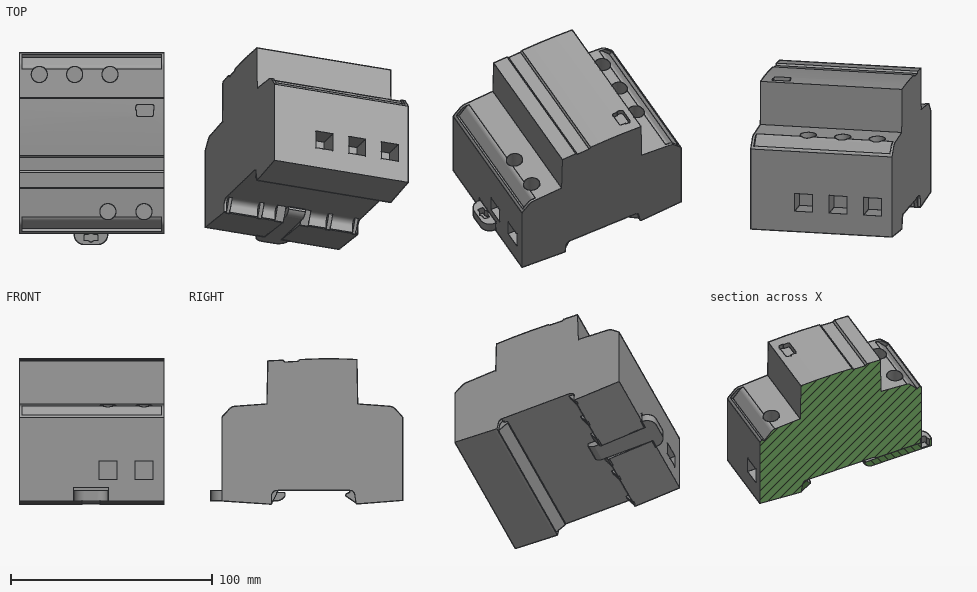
import cadquery as cq

WIDTH = 72.0
HALF_DEPTH = 45.0
RAIL_CEILING = 7.1

CHAMFER_FOOT = (HALF_DEPTH, 43.3)
CHAMFER_START = (44.6, 43.9)
SHOULDER_ARC_START = (41.2, 47.6)
SHOULDER_ARC_END = (38.5, 48.9)
TOWER_FOOT = (22.6, 50.0)
TOWER_BACK = (22.25, 72.1)
TOWER_PEAK = (4.8, 72.5)
TOWER_STEP = (-6.2, 72.1)
TOWER_FRONT = (-22.2, 71.4)
GROOVE_FRONT_TOP = (-14.6, 71.8)
GROOVE_FRONT_FLOOR = (-13.7, 70.9)
GROOVE_BACK_FLOOR = (-7.1, 71.2)
FRONT_BOTTOM = (-HALF_DEPTH, 1.7)
BACK_BOTTOM = (HALF_DEPTH, 2.0)

FRONT_LEG_TIP = (-20.6, 0.1)
FRONT_CORNER = [(-20.3, 0.6), (-20.3, 4.0), (-19.7, 6.0), (-17.8, RAIL_CEILING)]
BACK_CORNER = [(19.3, RAIL_CEILING), (20.6, 6.0), (21.2, 4.2), (21.8, 0.7)]
BACK_LEG_TIP = [(22.0, 0.3), (23.1, 0.3)]

RIB_SPANS = [(-34.8, -33.0), (-21.0, -18.9), (-9.3, -4.9), (4.1, 8.6), (15.9, 18.0), (33.0, 34.8)]
RIB_TOP = (-16.9, RAIL_CEILING)
RIB_TIP = (-20.4, 0.0)
RIB_ROOT = (-21.2, 0.0)

RECESS_MARGIN = 1.3
RECESS_LENGTH = WIDTH - 2 * RECESS_MARGIN
RECESS_RIM = (43.9, 44.6)
RECESS_FLOOR = (42.5, 43.55)
RECESS_ARC_START = (38.8, 47.9)
RECESS_ARC_END = (36.8, 49.0)
RECESS_CLEARANCE = 2.9

FRONT_TERMINALS = [8.0, 26.0]
BACK_TERMINALS = [-26.1, -8.5, 9.1]
SCREW_HOLE_DIAMETER = 8.0
SCREW_HOLE_Y = 34.1
SCREW_HOLE_FLOOR = 34.4
WIRE_OPENING = 9.1
WIRE_OPENING_Z = 17.1
WIRE_OPENING_DEPTH = 11.5

WINDOW_X = 26.5
WINDOW_BACK = 19.2
WINDOW_STEP = 16.4
WINDOW_FRONT = 13.3
WINDOW_WIDE = 9.2
WINDOW_NARROW = 8.3
WINDOW_BACK_RADIUS = 1.3
WINDOW_FRONT_RADIUS = 0.8
WINDOW_FLOOR = 69.7

CLIP_X = -0.4
CLIP_WIDTH = 16.8
CLIP_BOTTOM = 1.8
CLIP_TOP = 7.0
CLIP_TONGUE_TOP = 6.0
CLIP_FRONT = -50.5
CLIP_CORNER_RADIUS = 5.2
CLIP_SLOT_WIDTH = 17.6
CLIP_SLOT_TOP = 8.4
CLIP_SLOT_BACK = -44.4
TONGUE_WIDTH = 9.0
NOSE_TIP_Y = -13.5
NOSE_ARC = [(-17.2, CLIP_BOTTOM), (-14.9, 2.8), (NOSE_TIP_Y, 4.3)]
NOSE_BEVEL = [(NOSE_TIP_Y, 5.4), (-13.9, CLIP_TONGUE_TOP)]
KEYHOLE_Y = -47.0
KEYHOLE_LENGTH = 6.9
KEYHOLE_CORNER_RADIUS = 0.3
KEYHOLE_HALF_WIDTH = 1.4
KEYHOLE_POINT = 2.4
KEYHOLE_POINT_LENGTH = 3.2
KEYHOLE_FLOOR = 2.8

HOOK_LENGTH = 68.8
HOOK_LIP = [(16.8, 4.1), (16.6, 4.8), (17.1, 5.4)]
HOOK_NECK = [(18.4, 6.0), (18.7, RAIL_CEILING)]


def mirrored(point):
    y, z = point
    return (-y, z)


def slab(profile, x_start, x_end):
    """Extrude a closed YZ profile from x_start to x_end."""
    return profile.extrude(x_end - x_start).translate((x_start, 0, 0))


def box(x_range, y_range, z_range):
    (x0, x1), (y0, y1), (z0, z1) = x_range, y_range, z_range
    return cq.Workplane("XY").box(x1 - x0, y1 - y0, z1 - z0, centered=False).translate((x0, y0, z0))


def housing_block():
    profile = (
        cq.Workplane("YZ")
        .moveTo(*CHAMFER_FOOT)
        .lineTo(*CHAMFER_START)
        .lineTo(*SHOULDER_ARC_START)
        .tangentArcPoint(SHOULDER_ARC_END, relative=False)
        .lineTo(*TOWER_FOOT)
        .lineTo(*TOWER_BACK)
        .threePointArc(TOWER_PEAK, TOWER_STEP)
        .lineTo(*GROOVE_BACK_FLOOR)
        .lineTo(*GROOVE_FRONT_FLOOR)
        .lineTo(*GROOVE_FRONT_TOP)
        .lineTo(*TOWER_FRONT)
        .lineTo(*mirrored(TOWER_FOOT))
        .lineTo(*mirrored(SHOULDER_ARC_END))
        .tangentArcPoint(mirrored(SHOULDER_ARC_START), relative=False)
        .lineTo(*mirrored(CHAMFER_START))
        .lineTo(*mirrored(CHAMFER_FOOT))
        .lineTo(*FRONT_BOTTOM)
        .lineTo(*FRONT_LEG_TIP)
        .lineTo(*FRONT_CORNER[0])
        .lineTo(*FRONT_CORNER[1])
        .threePointArc(FRONT_CORNER[2], FRONT_CORNER[3])
        .lineTo(*BACK_CORNER[0])
        .threePointArc(BACK_CORNER[1], BACK_CORNER[2])
        .lineTo(*BACK_CORNER[3])
        .lineTo(*BACK_LEG_TIP[0])
        .lineTo(*BACK_LEG_TIP[1])
        .lineTo(*BACK_BOTTOM)
        .close()
    )
    return slab(profile, -WIDTH / 2, WIDTH / 2)


def rail_rib(x_start, x_end):
    profile = cq.Workplane("YZ").polyline([RIB_TOP, RIB_TIP, RIB_ROOT, (RIB_ROOT[0], RAIL_CEILING)]).close()
    return slab(profile, x_start, x_end)


def label_recess():
    """Cutter for the back recess: a slanted floor that runs out into the shoulder."""
    wall_y = RECESS_RIM[0] - RECESS_FLOOR[0]
    wall_z = RECESS_RIM[1] - RECESS_FLOOR[1]
    outer = (RECESS_RIM[0] + wall_y, RECESS_RIM[1] + wall_z)
    top = RECESS_ARC_END[1] + RECESS_CLEARANCE
    profile = (
        cq.Workplane("YZ")
        .moveTo(*outer)
        .lineTo(*RECESS_FLOOR)
        .lineTo(*RECESS_ARC_START)
        .tangentArcPoint(RECESS_ARC_END, relative=False)
        .lineTo(RECESS_ARC_END[0], top)
        .lineTo(outer[0], top)
        .close()
    )
    return slab(profile, -RECESS_LENGTH / 2, RECESS_LENGTH / 2)


def screw_hole(x, side):
    height = TOWER_FOOT[1] - SCREW_HOLE_FLOOR
    return (
        cq.Workplane("XY", origin=(x, side * SCREW_HOLE_Y, SCREW_HOLE_FLOOR))
        .circle(SCREW_HOLE_DIAMETER / 2)
        .extrude(height)
    )


def wire_opening(x, side):
    y = side * (HALF_DEPTH - WIRE_OPENING_DEPTH / 2)
    return (
        cq.Workplane("XY", origin=(x, y, WIRE_OPENING_Z))
        .box(WIRE_OPENING, WIRE_OPENING_DEPTH, WIRE_OPENING)
    )


def indicator_window():
    wide = WINDOW_WIDE / 2
    narrow = WINDOW_NARROW / 2
    outline = [
        (-wide, WINDOW_BACK), (wide, WINDOW_BACK), (wide, WINDOW_STEP), (narrow, WINDOW_STEP),
        (narrow, WINDOW_FRONT), (-narrow, WINDOW_FRONT), (-narrow, WINDOW_STEP), (-wide, WINDOW_STEP),
    ]
    window = (
        cq.Workplane("XY", origin=(WINDOW_X, 0, WINDOW_FLOOR))
        .polyline(outline).close()
        .extrude(TOWER_PEAK[1] - WINDOW_FLOOR)
    )
    window = window.edges("|Z and >Y").fillet(WINDOW_BACK_RADIUS)
    return window.edges("|Z and <Y").fillet(WINDOW_FRONT_RADIUS)


def clip_slot():
    """Shallow pocket for the head, and a narrower channel, open below, for the tongue."""
    head = box(
        (CLIP_X - CLIP_SLOT_WIDTH / 2, CLIP_X + CLIP_SLOT_WIDTH / 2),
        (-HALF_DEPTH, CLIP_SLOT_BACK),
        (CLIP_BOTTOM, CLIP_SLOT_TOP),
    )
    tongue = box(
        (CLIP_X - TONGUE_WIDTH / 2, CLIP_X + TONGUE_WIDTH / 2),
        (-HALF_DEPTH, NOSE_TIP_Y),
        (0, CLIP_TONGUE_TOP),
    )
    return head.union(tongue)


def make_housing():
    body = housing_block()
    for x_start, x_end in RIB_SPANS:
        body = body.union(rail_rib(x_start, x_end))
    recess = label_recess()
    body = body.cut(recess).cut(recess.mirror("XZ"))
    for side, places in ((-1, FRONT_TERMINALS), (1, BACK_TERMINALS)):
        for x in places:
            body = body.cut(screw_hole(x, side)).cut(wire_opening(x, side))
    return body.cut(indicator_window()).cut(clip_slot())


def keyhole():
    half = KEYHOLE_LENGTH / 2
    point_half = KEYHOLE_POINT_LENGTH / 2
    flat = KEYHOLE_HALF_WIDTH
    outline = [
        (half, flat), (point_half, flat), (0, KEYHOLE_POINT), (-point_half, flat), (-half, flat),
        (-half, -flat), (-point_half, -flat), (0, -KEYHOLE_POINT), (point_half, -flat), (half, -flat),
    ]
    cutter = (
        cq.Workplane("XY", origin=(CLIP_X, KEYHOLE_Y, KEYHOLE_FLOOR))
        .polyline(outline).close()
        .extrude(CLIP_TOP - KEYHOLE_FLOOR)
    )
    return cutter.edges("|Z and (<X or >X)").fillet(KEYHOLE_CORNER_RADIUS)


def make_clip():
    head = box(
        (CLIP_X - CLIP_WIDTH / 2, CLIP_X + CLIP_WIDTH / 2),
        (CLIP_FRONT, CLIP_SLOT_BACK),
        (CLIP_BOTTOM, CLIP_TOP),
    )
    head = head.edges("|Z and <Y").fillet(CLIP_CORNER_RADIUS)
    tongue_profile = (
        cq.Workplane("YZ")
        .moveTo(CLIP_SLOT_BACK, CLIP_BOTTOM)
        .lineTo(*NOSE_ARC[0])
        .threePointArc(NOSE_ARC[1], NOSE_ARC[2])
        .lineTo(*NOSE_BEVEL[0])
        .lineTo(*NOSE_BEVEL[1])
        .lineTo(CLIP_SLOT_BACK, CLIP_TONGUE_TOP)
        .close()
    )
    tongue = slab(tongue_profile, CLIP_X - TONGUE_WIDTH / 2, CLIP_X + TONGUE_WIDTH / 2)
    return head.union(tongue).cut(keyhole())


def make_hook():
    """Bar that fills the back corner of the rail channel and ends in a pointed lip."""
    profile = (
        cq.Workplane("YZ")
        .moveTo(*BACK_CORNER[0])
        .threePointArc(BACK_CORNER[1], BACK_CORNER[2])
        .lineTo(*BACK_CORNER[3])
        .lineTo(*HOOK_LIP[0])
        .threePointArc(HOOK_LIP[1], HOOK_LIP[2])
        .lineTo(*HOOK_NECK[0])
        .lineTo(*HOOK_NECK[1])
        .close()
    )
    return slab(profile, -HOOK_LENGTH / 2, HOOK_LENGTH / 2)


housing = make_housing()
rail_clip = make_clip()
rail_hook = make_hook()
result = cq.Compound.makeCompound([housing.val(), rail_clip.val(), rail_hook.val()])